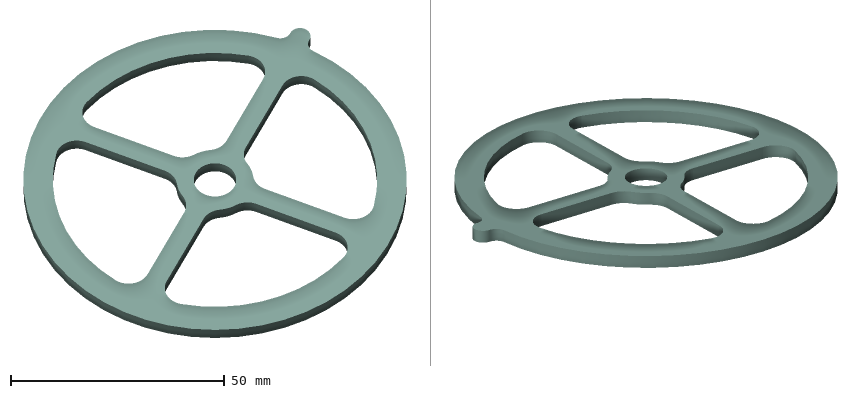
import cadquery as cq

total_length = 94.8
rim_diameter = 89.9
thickness = 3.0
bore_diameter = 10.0
hub_radius = 9.0
window_outer_radius = 38.0
spoke_width = 4.9
window_fillet = 4.9
tab_width = 4.9
tab_fillet = 2.5
spoke_count = 4

rim_radius = rim_diameter / 2
tab_radius = tab_width / 2
tab_center_y = total_length - rim_radius - tab_radius


def make_disc():
    """Round disc with a round-ended tab blended into its +Y edge."""
    disc = cq.Workplane("XY").circle(rim_radius).extrude(thickness)
    stem = (
        cq.Workplane("XY")
        .center(0, tab_center_y / 2)
        .rect(tab_width, tab_center_y)
        .extrude(thickness)
    )
    tip = cq.Workplane("XY").center(0, tab_center_y).circle(tab_radius).extrude(thickness)
    body = disc.union(stem).union(tip)
    root_y = (rim_radius**2 - tab_radius**2) ** 0.5
    for side in (-1, 1):
        root = (side * tab_radius, root_y, thickness / 2)
        body = body.edges(cq.selectors.NearestToPointSelector(root)).fillet(tab_fillet)
    return body


def make_window():
    """Rounded opening between the +X and +Y spokes."""
    ring = (
        cq.Workplane("XY")
        .circle(window_outer_radius)
        .circle(hub_radius)
        .extrude(thickness)
    )
    quadrant = (
        cq.Workplane("XY")
        .move(spoke_width / 2, spoke_width / 2)
        .rect(window_outer_radius, window_outer_radius, centered=False)
        .extrude(thickness)
    )
    return ring.intersect(quadrant).edges("|Z").fillet(window_fillet)


result = make_disc()
window = make_window()
for index in range(spoke_count):
    angle = index * 360 / spoke_count
    result = result.cut(window.rotate((0, 0, 0), (0, 0, 1), angle))

result = result.faces(">Z").workplane(origin=(0, 0, thickness)).hole(bore_diameter)